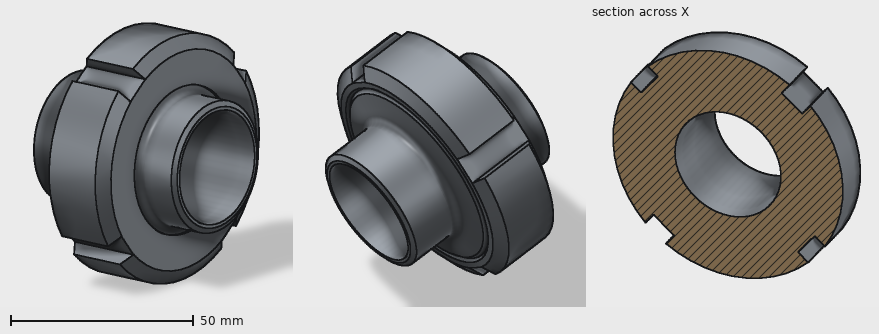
import cadquery as cq
import math

length = 51.0
pipe_radius = 37.0 / 2
bore_radius = 32.0 / 2
end_chamfer_length = 0.85
end_chamfer_depth = 1.55

nut_radius = 34.9
nut_start = 17.9
nut_end = 39.0
nut_chamfer_length = 2.3
nut_chamfer_angle = 60.0
nut_opening_radius = 58.0 / 2
slot_count = 4
slot_width = 7.95
slot_floor_radius = 30.75
first_slot_angle = 39.2

fillet_start = 14.05
cone_radius = 27.2
cone_angle = math.radians(10.5)
groove_depth = 1.05
back_opening_radius = 42.0 / 2
fillet_radius = back_opening_radius - pipe_radius
back_fillet_end = 40.65


def turned_body():
    """Revolve the outer outline, from the -X pipe end to the +X pipe end."""
    end_radius = pipe_radius - end_chamfer_depth
    chamfer_rise = nut_chamfer_length * math.tan(math.radians(nut_chamfer_angle))
    nut_face_radius = nut_radius - chamfer_rise

    center_radius = pipe_radius + fillet_radius
    fillet_end = (
        fillet_start + fillet_radius * math.cos(cone_angle),
        center_radius - fillet_radius * math.sin(cone_angle),
    )
    mid_angle = (math.pi / 2 - cone_angle) / 2
    fillet_middle = (
        fillet_start + fillet_radius * math.sin(mid_angle),
        center_radius - fillet_radius * math.cos(mid_angle),
    )
    cone_end = fillet_end[0] + (cone_radius - fillet_end[1]) * math.tan(cone_angle)

    groove_x = cone_end + groove_depth
    groove_radius = cone_radius + groove_depth

    back_face = back_fillet_end - fillet_radius
    quarter_middle = fillet_radius * math.sqrt(0.5)

    return (
        cq.Workplane("XY")
        .moveTo(0, 0)
        .lineTo(0, end_radius)
        .lineTo(end_chamfer_length, pipe_radius)
        .lineTo(fillet_start, pipe_radius)
        .threePointArc(fillet_middle, fillet_end)
        .lineTo(cone_end, cone_radius)
        .lineTo(groove_x, groove_radius)
        .lineTo(nut_start, nut_opening_radius)
        .lineTo(nut_start, nut_face_radius)
        .lineTo(nut_start + nut_chamfer_length, nut_radius)
        .lineTo(nut_end - nut_chamfer_length, nut_radius)
        .lineTo(nut_end, nut_face_radius)
        .lineTo(nut_end, back_opening_radius)
        .lineTo(back_face, back_opening_radius)
        .threePointArc(
            (back_fillet_end - quarter_middle, center_radius - quarter_middle),
            (back_fillet_end, pipe_radius),
        )
        .lineTo(length - end_chamfer_length, pipe_radius)
        .lineTo(length, end_radius)
        .lineTo(length, 0)
        .close()
        .revolve(360, (0, 0, 0), (1, 0, 0))
    )


def wrench_slot(angle):
    """Flat-floored slot across the nut rim; angle runs from +Y towards +Z."""
    return (
        cq.Workplane("XY")
        .box(nut_end - nut_start, nut_radius, slot_width, centered=(False, False, True))
        .translate((nut_start, slot_floor_radius, 0))
        .rotate((0, 0, 0), (1, 0, 0), angle)
    )


result = turned_body()
for index in range(slot_count):
    result = result.cut(wrench_slot(first_slot_angle + index * 360 / slot_count))

bore = cq.Workplane("YZ").circle(bore_radius).extrude(length)
result = result.cut(bore)